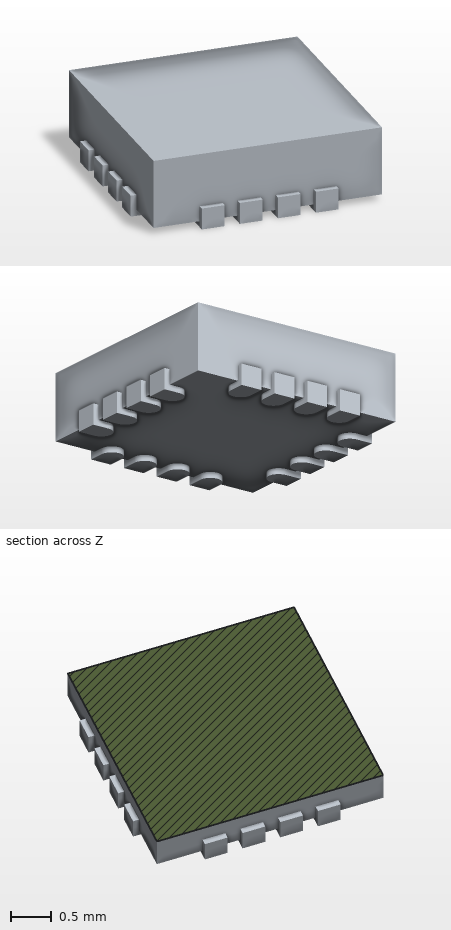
import cadquery as cq

overall_width = 3.16
overall_height = 0.98
pad_thickness = 0.08
pad_width = 0.3
pad_pitch = 0.5
pad_height = 0.28
pad_length = 0.38
pad_row_offset = 0.003
pads_per_side = 4
sides = 4

body_width = overall_width - 2 * pad_thickness
body_height = overall_height - pad_thickness
half_width = overall_width / 2
side_angle = 360 / sides
tip_radius = pad_width / 2
tip_center_y = -half_width + pad_length - tip_radius


def make_body():
    """Square package block raised above the seating plane by the pad thickness."""
    return cq.Workplane("XY", origin=(0, 0, pad_thickness)).box(
        body_width, body_width, body_height, centered=(True, True, False)
    )


def make_pad(center_x):
    """L-shaped pad on the -Y side: a foot with a half-round inner tip and an upright leg."""
    left = center_x - pad_width / 2
    right = center_x + pad_width / 2
    foot = (
        cq.Workplane("XY")
        .moveTo(left, -half_width)
        .lineTo(right, -half_width)
        .lineTo(right, tip_center_y)
        .threePointArc((center_x, tip_center_y + tip_radius), (left, tip_center_y))
        .close()
        .extrude(pad_thickness)
    )
    leg = cq.Workplane("XY", origin=(center_x, -half_width, 0)).box(
        pad_width, pad_thickness, pad_height, centered=(True, False, False)
    )
    return foot.union(leg)


result = make_body()
for side in range(sides):
    for index in range(pads_per_side):
        pad_x = (index - (pads_per_side - 1) / 2) * pad_pitch + pad_row_offset
        pad = make_pad(pad_x).rotate((0, 0, 0), (0, 0, 1), side * side_angle)
        result = result.union(pad)